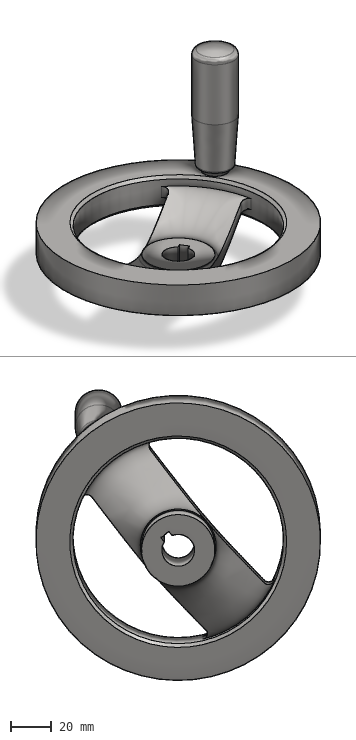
import cadquery as cq
import math

RIM_RADIUS = 70.0
RIM_INNER_RADIUS = 51.7
RIM_HEIGHT = 16.8
RIM_CHAMFER = 1.5

HUB_RADIUS = 18.03
HUB_TOP = -0.5
HUB_BOTTOM = -19.2
HUB_FILLET = 1.0
BORE_RADIUS = 8.0
KEYWAY_WIDTH = 5.0
KEYWAY_REACH = 10.3

WEB_WIDTH = 37.3
WEB_BOTTOM = -9.7
WEB_BOTTOM_AT_RIM = 5.4
WEB_TOP_AT_HUB = -2.7
WEB_TOP_AT_RIM = 11.4
WEB_CORNER_FILLET = 3.0
RIM_OVERLAP = 1.4

HANDLE_Y = 61.0
NECK_RADIUS = 6.8
NECK_HEIGHT = 2.5
GRIP_RADIUS = 11.5
GRIP_BASE_RADIUS = 9.7
GRIP_BASE_FILLET = 1.3
TAPER_HEIGHT = 30.5
HANDLE_HEIGHT = 67.4
CROWN_RADIUS = 38.2
GRIP_TOP_FILLET = 3.0


def make_rim():
    ring = cq.Workplane("XY").circle(RIM_RADIUS).circle(RIM_INNER_RADIUS).extrude(RIM_HEIGHT)
    inner_edges = cq.selectors.RadiusNthSelector(0)
    return ring.edges("%CIRCLE").edges(inner_edges).chamfer(RIM_CHAMFER)


def make_web_and_hub():
    """Turned dish and hub, trimmed to a straight strip slightly wider than the hub."""
    strip_edge = WEB_WIDTH / 2
    outer = RIM_INNER_RADIUS + RIM_OVERLAP
    bottom_slope = (WEB_BOTTOM_AT_RIM - WEB_BOTTOM) / (RIM_INNER_RADIUS - strip_edge)
    top_slope = (WEB_TOP_AT_RIM - WEB_TOP_AT_HUB) / (RIM_INNER_RADIUS - HUB_RADIUS)
    profile = [
        (0, HUB_BOTTOM),
        (HUB_RADIUS, HUB_BOTTOM),
        (HUB_RADIUS, WEB_BOTTOM),
        (strip_edge, WEB_BOTTOM),
        (outer, WEB_BOTTOM_AT_RIM + RIM_OVERLAP * bottom_slope),
        (outer, WEB_TOP_AT_RIM + RIM_OVERLAP * top_slope),
        (HUB_RADIUS, WEB_TOP_AT_HUB),
        (HUB_RADIUS, HUB_TOP),
        (0, HUB_TOP),
    ]
    turned = cq.Workplane("YZ").polyline(profile).close().revolve(360, (0, 0, 0), (0, 1, 0))
    hub_foot = cq.selectors.NearestToPointSelector((0, 0, WEB_TOP_AT_HUB))
    turned = turned.edges("%CIRCLE").edges(hub_foot).fillet(HUB_FILLET)
    strip = cq.Workplane("XY").box(WEB_WIDTH, 2 * outer, 2 * RIM_RADIUS)
    return turned.intersect(strip)


def make_wheel():
    """Rim joined to the web, with the four upright inner corners rounded."""
    wheel = make_rim().union(make_web_and_hub())
    corner_x = WEB_WIDTH / 2
    corner_y = math.sqrt(RIM_INNER_RADIUS**2 - corner_x**2)
    corner_z = (WEB_BOTTOM_AT_RIM + WEB_TOP_AT_RIM) / 2
    for x in (-corner_x, corner_x):
        for y in (-corner_y, corner_y):
            corner = cq.selectors.NearestToPointSelector((x, y, corner_z))
            wheel = wheel.edges("|Z").edges(corner).fillet(WEB_CORNER_FILLET)
    return wheel


def make_bore():
    depth = HUB_TOP - HUB_BOTTOM
    plane = cq.Workplane("XY", origin=(0, 0, HUB_BOTTOM))
    bore = plane.circle(BORE_RADIUS).extrude(depth)
    keyway = plane.center(0, KEYWAY_REACH / 2).rect(KEYWAY_WIDTH, KEYWAY_REACH).extrude(depth)
    return bore.union(keyway)


def make_handle():
    base = cq.Workplane("XY", origin=(0, HANDLE_Y, RIM_HEIGHT))
    neck = base.circle(NECK_RADIUS).extrude(NECK_HEIGHT)

    crown_center = HANDLE_HEIGHT - CROWN_RADIUS
    shoulder_height = crown_center + math.sqrt(CROWN_RADIUS**2 - GRIP_RADIUS**2)
    mid_radius = GRIP_RADIUS / 2
    mid_height = crown_center + math.sqrt(CROWN_RADIUS**2 - mid_radius**2)
    grip = (
        cq.Workplane("YZ", origin=(0, HANDLE_Y, RIM_HEIGHT))
        .moveTo(0, NECK_HEIGHT)
        .lineTo(GRIP_BASE_RADIUS, NECK_HEIGHT)
        .lineTo(GRIP_RADIUS, TAPER_HEIGHT)
        .lineTo(GRIP_RADIUS, shoulder_height)
        .threePointArc((mid_radius, mid_height), (0, HANDLE_HEIGHT))
        .close()
        .revolve(360, (0, 0, 0), (0, 1, 0))
    )
    shoulder = cq.selectors.NearestToPointSelector((0, HANDLE_Y, RIM_HEIGHT + shoulder_height))
    grip = grip.edges("%CIRCLE").edges(shoulder).fillet(GRIP_TOP_FILLET)
    grip = grip.faces("<Z").edges().fillet(GRIP_BASE_FILLET)
    return neck.union(grip)


result = make_wheel().cut(make_bore()).union(make_handle())